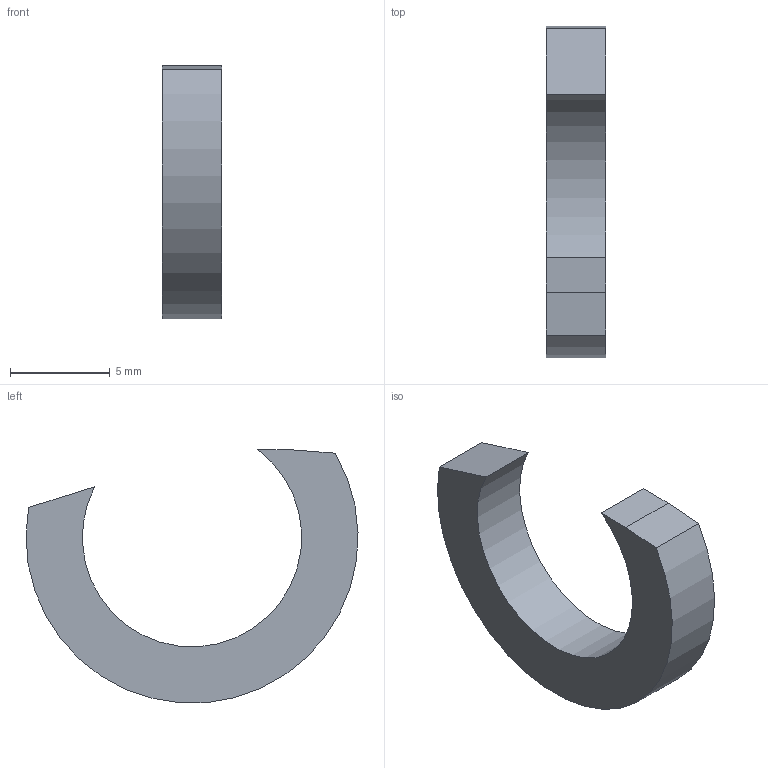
import cadquery as cq
import math

outer_radius = 8.325
inner_radius = 5.5
thickness = 3.0

sloped_end_outer_z = 1.49
sloped_end_inner_z = 2.53

blunt_end_inner_z = 4.41
blunt_end_break_y = -5.03
blunt_end_break_z = 4.38
blunt_end_outer_z = 4.21


def half_chord(radius, height):
    """Distance from the ring's vertical centre line to its circle at a given height."""
    return math.sqrt(radius**2 - height**2)


sloped_outer = (half_chord(outer_radius, sloped_end_outer_z), sloped_end_outer_z)
sloped_inner = (half_chord(inner_radius, sloped_end_inner_z), sloped_end_inner_z)
blunt_inner = (-half_chord(inner_radius, blunt_end_inner_z), blunt_end_inner_z)
blunt_break = (blunt_end_break_y, blunt_end_break_z)
blunt_outer = (-half_chord(outer_radius, blunt_end_outer_z), blunt_end_outer_z)

result = (
    cq.Workplane("YZ")
    .moveTo(*sloped_outer)
    .threePointArc((0, -outer_radius), blunt_outer)
    .lineTo(*blunt_break)
    .lineTo(*blunt_inner)
    .threePointArc((0, -inner_radius), sloped_inner)
    .close()
    .extrude(thickness / 2, both=True)
)